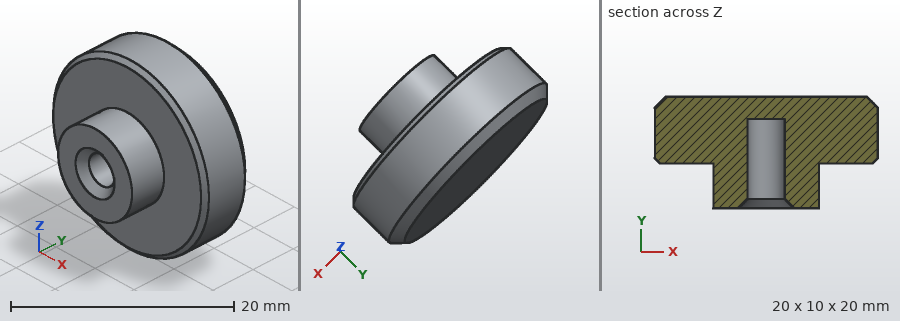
import cadquery as cq

head_diameter = 20.0
head_thickness = 6.0
front_chamfer = 0.5
back_chamfer = 1.0

boss_diameter = 9.5
boss_length = 4.0

hole_diameter = 3.3
hole_depth = 8.0
countersink_diameter = 5.0

head_radius = head_diameter / 2
boss_radius = boss_diameter / 2
hole_radius = hole_diameter / 2
countersink_radius = countersink_diameter / 2
countersink_depth = countersink_radius - hole_radius
overall_length = boss_length + head_thickness


def revolve_about_y(profile):
    """Spin a closed (radius, y) profile a full turn around the Y axis."""
    return cq.Workplane("XY").polyline(profile).close().revolve(360, (0, 0, 0), (0, 1, 0))


body = revolve_about_y([
    (0, 0),
    (boss_radius, 0),
    (boss_radius, boss_length),
    (head_radius - front_chamfer, boss_length),
    (head_radius, boss_length + front_chamfer),
    (head_radius, overall_length - back_chamfer),
    (head_radius - back_chamfer, overall_length),
    (0, overall_length),
])

hole = revolve_about_y([
    (0, 0),
    (countersink_radius, 0),
    (hole_radius, countersink_depth),
    (hole_radius, hole_depth),
    (0, hole_depth),
])

result = body.cut(hole)